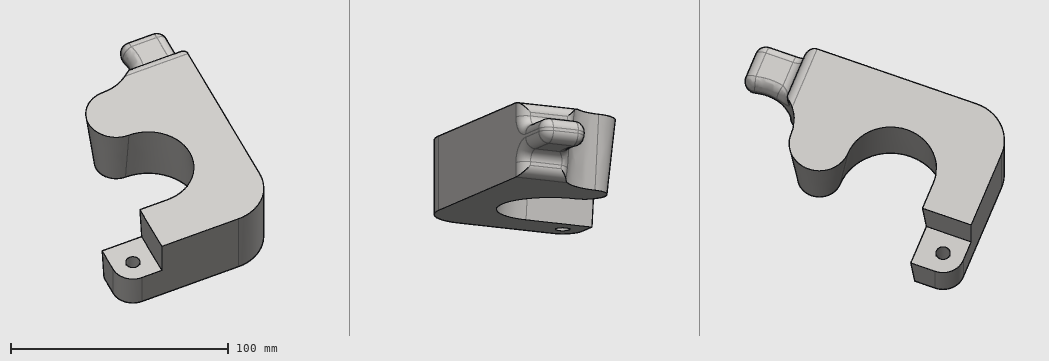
import cadquery as cq
import math

LENGTH = 126.67
DEPTH = 78.89
HEIGHT = 35.0
BACK_CORNER_RADIUS = 20.0

DRAFT_ANGLE = 6.3
ARM_WIDTH = 24.0
SLOT_RADIUS = 21.0
FINGER_RADIUS = 14.0

TAB_LENGTH = 20.0
TAB_HEIGHT = HEIGHT / 2
TAB_CORNER_RADIUS = 10.0
TAB_HOLE_DIAMETER = 6.5

KNOB_LENGTH = 23.3
KNOB_THICKNESS = 11.5
BLEND_RADIUS = 5.0

SELECTION_MARGIN = 0.1

arm_end_y = TAB_LENGTH - DEPTH
contour_y = arm_end_y + FINGER_RADIUS
slot_x = -ARM_WIDTH - SLOT_RADIUS
finger_x = slot_x - SLOT_RADIUS - FINGER_RADIUS
neck_x = finger_x - FINGER_RADIUS - SLOT_RADIUS
body_left_x = KNOB_LENGTH - LENGTH
knob_bottom_z = (HEIGHT - KNOB_THICKNESS) / 2
knob_top_z = knob_bottom_z + KNOB_THICKNESS
full_draft = HEIGHT * math.tan(math.radians(DRAFT_ANGLE))


def on_circle(center_x, center_y, radius, degrees):
    """Point on a circle at the given angle."""
    angle = math.radians(degrees)
    return (center_x + radius * math.cos(angle), center_y + radius * math.sin(angle))


def outline(z, inset):
    """Plan contour at height z, its front side set back by inset into the material."""
    hollow_radius = SLOT_RADIUS + inset
    finger_radius = FINGER_RADIUS - inset
    neck_end_angle = math.degrees(math.acos((-LENGTH - neck_x) / hollow_radius))
    return (
        cq.Workplane("XY", origin=(0, 0, z))
        .moveTo(-LENGTH, 0)
        .lineTo(-BACK_CORNER_RADIUS, 0)
        .threePointArc(
            on_circle(-BACK_CORNER_RADIUS, -BACK_CORNER_RADIUS, BACK_CORNER_RADIUS, 45),
            (0, -BACK_CORNER_RADIUS),
        )
        .lineTo(0, TAB_CORNER_RADIUS - DEPTH)
        .threePointArc(
            on_circle(-TAB_CORNER_RADIUS, TAB_CORNER_RADIUS - DEPTH, TAB_CORNER_RADIUS, -45),
            (-TAB_CORNER_RADIUS, -DEPTH),
        )
        .lineTo(slot_x + hollow_radius, -DEPTH)
        .lineTo(slot_x + hollow_radius, contour_y)
        .threePointArc((slot_x, contour_y + hollow_radius), (slot_x - hollow_radius, contour_y))
        .threePointArc((finger_x, contour_y - finger_radius), (finger_x - finger_radius, contour_y))
        .threePointArc(
            on_circle(neck_x, contour_y, hollow_radius, neck_end_angle / 2),
            on_circle(neck_x, contour_y, hollow_radius, neck_end_angle),
        )
        .close()
        .wire()
        .val()
    )


def box_between(low, high):
    """Axis-aligned box between two opposite corners."""
    size = [b - a for a, b in zip(low, high)]
    return cq.Workplane("XY").box(*size, centered=False).translate(low)


def make_body():
    """Contour drafted inward towards the underside."""
    bottom = outline(0, full_draft)
    top = outline(HEIGHT, 0)
    return cq.Workplane(cq.Solid.makeLoft([bottom, top], True))


def form_knob(body):
    """Clear the left end above and below the knob, then round and blend it into the body."""
    for low_z, high_z in ((0, knob_bottom_z), (knob_top_z, HEIGHT)):
        body = body.cut(box_between((-LENGTH, -DEPTH, low_z), (body_left_x, 0, high_z)))
    left_end = cq.selectors.BoxSelector(
        (-LENGTH - SELECTION_MARGIN, -DEPTH, -SELECTION_MARGIN),
        (body_left_x + SELECTION_MARGIN, SELECTION_MARGIN, HEIGHT + SELECTION_MARGIN),
        boundingbox=True,
    )
    return body.edges(left_end).fillet(BLEND_RADIUS)


def form_tab(body):
    """Step the arm end down to the tab and drill the tab."""
    step = box_between((slot_x, -DEPTH, TAB_HEIGHT), (0, arm_end_y, HEIGHT))
    hole = (
        cq.Workplane("XY")
        .center(-TAB_CORNER_RADIUS, TAB_CORNER_RADIUS - DEPTH)
        .circle(TAB_HOLE_DIAMETER / 2)
        .extrude(TAB_HEIGHT)
    )
    return body.cut(step).cut(hole)


result = form_tab(form_knob(make_body()))